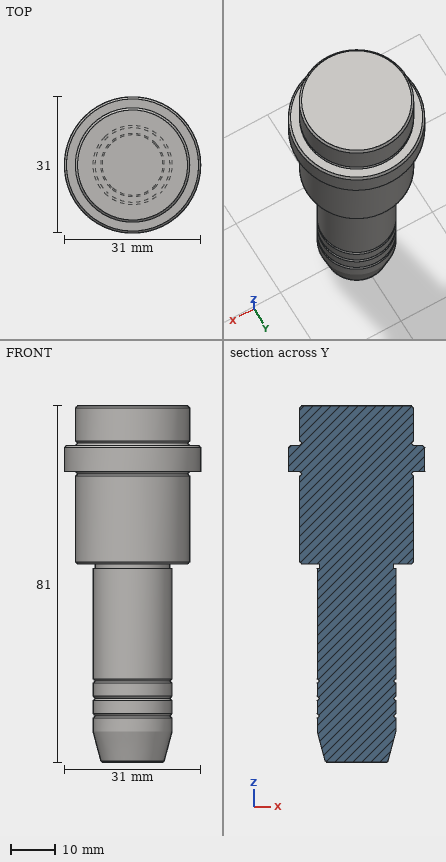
import cadquery as cq
import math

total_height = 81.0
flange_diameter = 31.0
body_diameter = 26.0
stem_diameter = 18.0

head_height = 9.0
flange_height = 6.0
body_height = 21.0

edge_break = 0.5
neck_height = 2 * edge_break

groove_count = 3
groove_pitch = 4.0
lowest_groove_center = 10.5

taper_height = 7.0
taper_angle = 15.0
tip_break = 0.3

flange_top = total_height - head_height
flange_bottom = flange_top - flange_height
body_bottom = flange_bottom - body_height

flange_radius = flange_diameter / 2
body_radius = body_diameter / 2
stem_radius = stem_diameter / 2
neck_radius = stem_radius - edge_break


def taper_radius(height):
    """Radius of the conical tip at a height above its end face."""
    return stem_radius - (taper_height - height) * math.tan(math.radians(taper_angle))


def groove_points(outer_radius, center):
    """V groove around a cylinder, listed upwards."""
    return [
        (outer_radius, center - edge_break),
        (outer_radius - edge_break, center),
        (outer_radius, center + edge_break),
    ]


tip_points = [
    (0, 0),
    (taper_radius(tip_break) - tip_break, 0),
    (taper_radius(tip_break), tip_break),
    (stem_radius, taper_height),
]

stem_points = []
for index in range(groove_count):
    stem_points += groove_points(stem_radius, lowest_groove_center + index * groove_pitch)
stem_points += [
    (stem_radius, body_bottom - neck_height),
    (neck_radius, body_bottom - neck_height),
    (neck_radius, body_bottom),
]

body_points = [
    (body_radius - edge_break, body_bottom),
    (body_radius, body_bottom + edge_break),
]
body_points += groove_points(body_radius, flange_bottom - edge_break)

flange_points = [
    (flange_radius, flange_bottom),
    (flange_radius, flange_top - edge_break),
    (flange_radius - edge_break, flange_top),
]

head_points = groove_points(body_radius, flange_top + edge_break)
head_points += [
    (body_radius, total_height - edge_break),
    (body_radius - edge_break, total_height),
    (0, total_height),
]

profile = tip_points + stem_points + body_points + flange_points + head_points
result = cq.Workplane("XZ").polyline(profile).close().revolve(360, (0, 0), (0, 1))